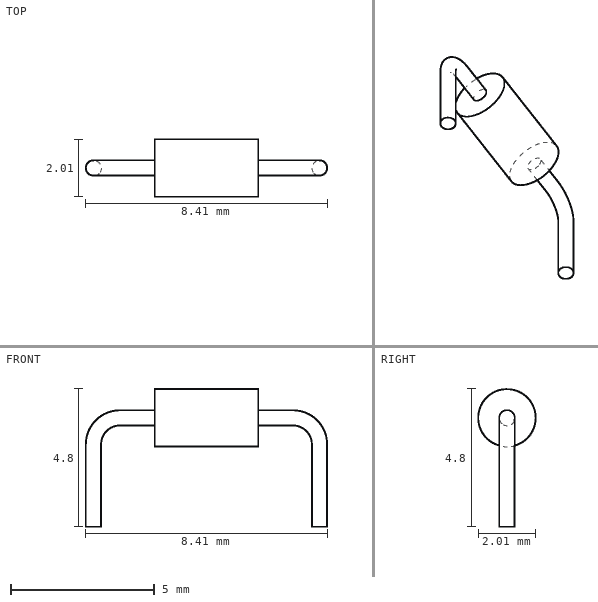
import cadquery as cq

overall_length = 8.41
overall_height = 4.8

housing_diameter = 2.01
housing_length = 3.62

lead_diameter = 0.54
bend_radius = 0.925

axis_height = overall_height - housing_diameter / 2
housing_end = housing_length / 2
lead_x = (overall_length - lead_diameter) / 2


def make_housing():
    """Plain cylinder centred between the leads."""
    return (
        cq.Workplane("YZ", origin=(-housing_end, 0, axis_height))
        .circle(housing_diameter / 2)
        .extrude(housing_length)
    )


def make_lead(side):
    """Round wire from the housing end face, bent down; side is -1 or +1 along X."""
    centreline = (
        cq.Workplane("XZ")
        .moveTo(side * housing_end, axis_height)
        .lineTo(side * (lead_x - bend_radius), axis_height)
        .tangentArcPoint((side * lead_x, axis_height - bend_radius), relative=False)
        .lineTo(side * lead_x, 0)
    )
    return (
        cq.Workplane("YZ", origin=(side * housing_end, 0, axis_height))
        .circle(lead_diameter / 2)
        .sweep(centreline)
    )


housing = make_housing()
leads = [make_lead(side) for side in (-1, 1)]

result = cq.Compound.makeCompound([housing.val(), *[lead.val() for lead in leads]])